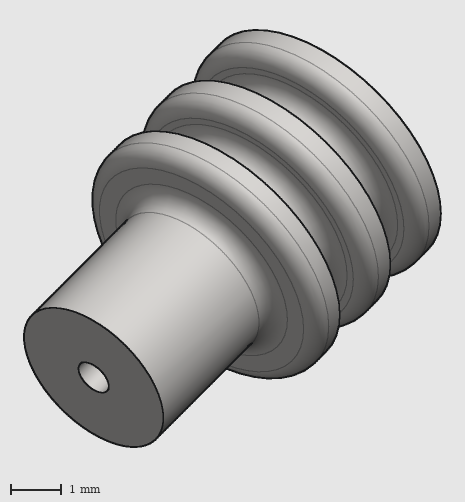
import cadquery as cq

length = 7.5
rib_radius = 5.75 / 2
stem_radius = 3.45 / 2
bore_radius = 0.75 / 2

rib_count = 3
rib_pitch = 1.64
rib_round = 0.35
rim_width = 0.4
front_rim_width = 0.37

groove_radius = 0.42
groove_floor_radius = 1.95
groove_center_radius = groove_floor_radius + groove_radius

stem_fillet = 0.4

front_y = -length / 2
back_y = length / 2
first_rib_back_y = back_y - (rib_count - 1) * rib_pitch
first_rib_front_y = first_rib_back_y - front_rim_width - rib_round


def add_rib(profile, rib_back_y, width):
    """Trace a rib's front face, rounded edge and cylindrical rim."""
    round_end_y = rib_back_y - width
    return (
        profile.lineTo(rib_radius - rib_round, round_end_y - rib_round)
        .tangentArcPoint((rib_radius, round_end_y), relative=False)
        .lineTo(rib_radius, rib_back_y)
    )


def add_groove(profile, next_rib_front_y):
    """Trace a rib's slightly conical back face and the half-round groove behind it."""
    groove_center_y = next_rib_front_y - groove_radius
    return (
        profile.lineTo(groove_center_radius, groove_center_y - groove_radius)
        .threePointArc(
            (groove_floor_radius, groove_center_y),
            (groove_center_radius, next_rib_front_y),
        )
    )


profile = (
    cq.Workplane("XY")
    .moveTo(bore_radius, front_y)
    .lineTo(stem_radius, front_y)
    .lineTo(stem_radius, first_rib_front_y - stem_fillet)
    .tangentArcPoint((stem_radius + stem_fillet, first_rib_front_y), relative=False)
)

profile = add_rib(profile, first_rib_back_y, front_rim_width)
for index in range(1, rib_count):
    rib_back_y = first_rib_back_y + index * rib_pitch
    profile = add_groove(profile, rib_back_y - rim_width - rib_round)
    profile = add_rib(profile, rib_back_y, rim_width)

profile = profile.lineTo(bore_radius, back_y).close()

result = profile.revolve(360, (0, 0, 0), (0, 1, 0))